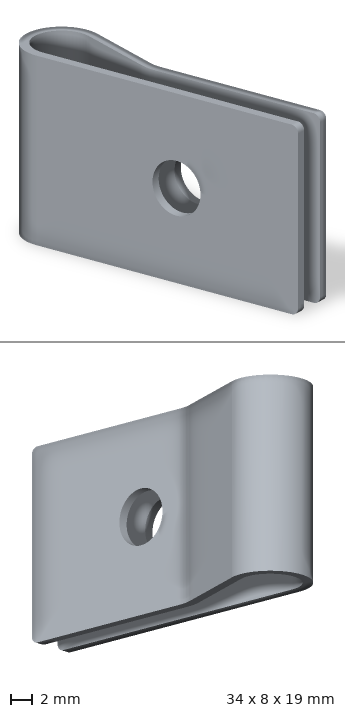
import cadquery as cq
import math

length = 34.0
height = 19.0
thickness = 1.0
loop_diameter = 8.0
leg_gap = 2.5
slope_angle = 20.0
bend_radius = 4.0
hole_diameter = 5.5
hole_x = 20.05
corner_radius = 0.7

loop_radius = loop_diameter / 2

leg_end_x = length - loop_radius
loop_inner_radius = loop_radius - thickness
front_inner_y = -loop_inner_radius
rear_inner_y = front_inner_y + leg_gap
rear_outer_y = rear_inner_y + thickness

slope_sin = math.sin(math.radians(slope_angle))
slope_cos = math.cos(math.radians(slope_angle))
bend_y = rear_outer_y + bend_radius
center_distance = loop_radius + bend_radius
slope_length = (center_distance * slope_cos - bend_y) / slope_sin
bend_x = center_distance * slope_sin + slope_length * slope_cos


def loop_point(radius):
    """Point where the loop meets the sloped strip."""
    return (radius * slope_sin, radius * slope_cos)


def bend_point(radius, angle):
    """Point on the bend, at an angle measured back from the rear leg."""
    turn = math.radians(angle)
    return (bend_x - radius * math.sin(turn), bend_y - radius * math.cos(turn))


def make_strip():
    """Bent strip, extruded to its full height."""
    bend_outer_radius = bend_radius + thickness
    half_angle = slope_angle / 2
    return (
        cq.Workplane("XY")
        .moveTo(leg_end_x, -loop_radius)
        .lineTo(0, -loop_radius)
        .threePointArc((-loop_radius, 0), loop_point(loop_radius))
        .lineTo(*bend_point(bend_radius, slope_angle))
        .threePointArc(bend_point(bend_radius, half_angle), bend_point(bend_radius, 0))
        .lineTo(leg_end_x, rear_outer_y)
        .lineTo(leg_end_x, rear_inner_y)
        .lineTo(bend_x, rear_inner_y)
        .threePointArc(
            bend_point(bend_outer_radius, half_angle),
            bend_point(bend_outer_radius, slope_angle),
        )
        .lineTo(*loop_point(loop_inner_radius))
        .threePointArc((-loop_inner_radius, 0), (0, front_inner_y))
        .lineTo(leg_end_x, front_inner_y)
        .close()
        .extrude(height)
    )


def make_hole():
    """Cylinder that cuts one aligned hole through both legs."""
    return (
        cq.Workplane("XZ", origin=(hole_x - loop_radius, loop_radius, height / 2))
        .circle(hole_diameter / 2)
        .extrude(loop_diameter)
    )


strip = make_strip().cut(make_hole())

result = strip.faces(">X").edges("|Y").fillet(corner_radius)